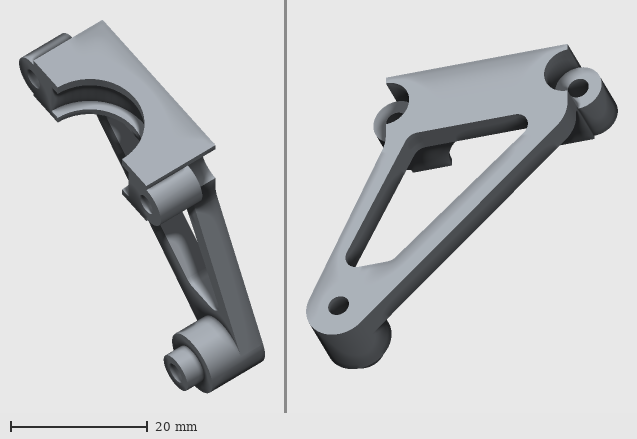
import cadquery as cq
import math

depth = 12.5
hole_diameter = 3.2

block_width = 27.98
block_height = 8.75
bore_radius = 8.0
groove_radius = 9.5
groove_top = -1.6
groove_height = 6.0

lug_radius = 3.6
lug_length = 7.5
lug_z = -4.6

plate_thickness = 4.0
arm_radius = 5.0
arm_top_z = -10.3
arm_right_corner_z = -11.45
boss_x = 21.25
boss_z = -38.6
boss_depth = 9.5
pin_diameter = 6.0
root_fillet = 0.9

window_top = -10.7
window_bottom = -32.4
window_top_left = -11.15
window_top_right = 10.4
window_bottom_left = 13.02
window_bottom_right = 21.5
window_fillet = 2.0


def rod(x, z, radius, start, end):
    """Cylinder along Y spanning the given distances in front of the back face."""
    return (
        cq.Workplane("XZ", origin=(0, -start, 0))
        .center(x, z)
        .circle(radius)
        .extrude(end - start)
    )


def upright_disc(radius, top, height):
    """Vertical cylinder on the bore axis, which lies in the front face."""
    return cq.Workplane("XY", origin=(0, -depth, top)).circle(radius).extrude(-height)


def make_block_and_plate_top():
    """L-shaped section: the block and the start of the plate, with a filleted root."""
    section = (
        cq.Workplane("YZ", origin=(-block_width / 2, 0, 0))
        .moveTo(0, 0)
        .lineTo(-depth, 0)
        .lineTo(-depth, -block_height)
        .lineTo(-plate_thickness - root_fillet, -block_height)
        .radiusArc((-plate_thickness, -block_height - root_fillet), root_fillet)
        .lineTo(0, -block_height - root_fillet)
        .close()
    )
    return section.extrude(block_width)


def make_arm():
    """Plate tapering from the block's width to the boss, with the boss and pin in front."""
    half_width = block_width / 2

    left_centre_x = -half_width + arm_radius
    left_slope = math.atan2(arm_top_z - boss_z, boss_x - left_centre_x)
    left_offset_x = -arm_radius * math.sin(left_slope)
    left_offset_z = -arm_radius * math.cos(left_slope)

    run = boss_x - half_width
    drop = arm_right_corner_z - boss_z
    touch_angle = math.asin(arm_radius / math.hypot(run, drop))
    right_normal = math.atan2(run, drop) + touch_angle
    right_touch = (
        boss_x + arm_radius * math.cos(right_normal),
        boss_z + arm_radius * math.sin(right_normal),
    )

    plate = (
        cq.Workplane("XZ")
        .moveTo(-half_width, arm_top_z)
        .radiusArc((left_centre_x + left_offset_x, arm_top_z + left_offset_z), -arm_radius)
        .lineTo(boss_x + left_offset_x, boss_z + left_offset_z)
        .threePointArc((boss_x, boss_z - arm_radius), right_touch)
        .lineTo(half_width, arm_right_corner_z)
        .lineTo(half_width, -block_height - root_fillet)
        .lineTo(-half_width, -block_height - root_fillet)
        .close()
        .extrude(plate_thickness)
    )
    inner_corner = cq.selectors.NearestToPointSelector(
        (half_width, -plate_thickness / 2, arm_right_corner_z)
    )
    plate = plate.edges("|Y").edges(inner_corner).fillet(arm_radius)
    boss = rod(boss_x, boss_z, arm_radius, 0, boss_depth)
    pin = rod(boss_x, boss_z, pin_diameter / 2, boss_depth, depth)
    return plate.union(boss).union(pin)


def make_window():
    outline = [
        (window_top_left, window_top),
        (window_top_right, window_top),
        (window_bottom_right, window_bottom),
        (window_bottom_left, window_bottom),
    ]
    prism = cq.Workplane("XZ").polyline(outline).close().extrude(plate_thickness)
    return prism.edges("|Y").fillet(window_fillet)


body = make_block_and_plate_top().union(make_arm()).cut(make_window())

lug_back = depth - lug_length
for lug_x in (-block_width / 2, block_width / 2):
    body = body.union(rod(lug_x, lug_z, lug_radius, lug_back, depth))
    body = body.cut(rod(lug_x, lug_z, lug_radius, 0, lug_back))
    body = body.cut(rod(lug_x, lug_z, hole_diameter / 2, lug_back, depth))

body = body.cut(rod(boss_x, boss_z, hole_diameter / 2, 0, depth))

body = body.cut(upright_disc(bore_radius, 0, block_height + root_fillet))
result = body.cut(upright_disc(groove_radius, groove_top, groove_height))